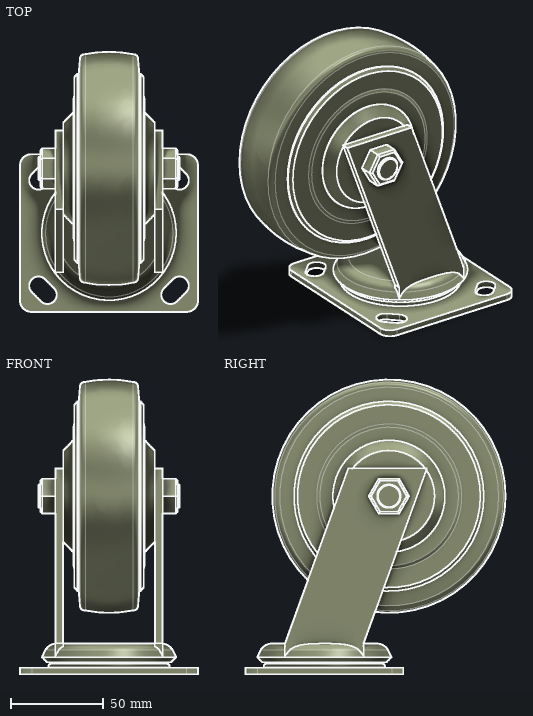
import cadquery as cq
import math


PLATE_X = 97.0
PLATE_Y = 85.9
PLATE_T = 3.7
PLATE_CORNER_R = 6.4
SLOT_WIDTH = 10.0
SLOT_TRAVEL = 6.9
SLOT_X = 35.9
SLOT_Y = 31.1
SLOT_TILT = 45.0

FLANGE_R = 33.0
FLANGE_ROUND_R = 1.5
NECK_R = FLANGE_R - FLANGE_ROUND_R
NECK_Z = 5.8
DISC_BOTTOM_R = 33.6
DISC_BOTTOM_Z = 6.4
DISC_RIM_R = 36.5
DISC_RIM_Z = 9.3
DISC_ROUND_R = 34.6
DISC_ROUND_Z = 13.3
DISC_TOP_R = 28.2
DISC_TOP_Z = 16.8

OVERALL_HEIGHT = 160.2
OVERALL_DEPTH = 141.5
WHEEL_R = 63.5
AXLE_Y = OVERALL_DEPTH - PLATE_Y / 2 - WHEEL_R
AXLE_Z = OVERALL_HEIGHT - WHEEL_R
CROWN_EDGE_X = 13.0
CROWN_EDGE_R = 62.2
TIRE_ROUND_X = 15.0
TIRE_ROUND_R = 61.4
TIRE_SIDE_X = 15.9
TIRE_SIDE_R = 59.5
TIRE_FOOT_X = 16.5
TIRE_FOOT_R = 51.6
RIM_X = 18.9
RIM_STEP_X = 17.1
RIM_OUTER_R = 49.7
RIM_INNER_R = 39.4
WEB_X = 19.4
WEB_R = 37.6
HUB_BASE_X = 19.5
HUB_BASE_R = 30.5
HUB_FACE_R = 24.8

LEG_INNER_X = 25.0
LEG_T = 4.2
LEG_WIDTH = 42.8
LEG_TOP_Z = 111.8
LEG_TOP_BACK_Y = 55.8
LEG_OUTER_X = LEG_INNER_X + LEG_T

BOLT_R = 6.4
BOLT_HALF_LENGTH = 38.5
BOLT_CHAMFER = 0.5
HEX_ACROSS_FLATS = 19.0
HEX_OUTER_X = 37.3
HEX_CHAMFER = 1.1
HEX_ACROSS_CORNERS = HEX_ACROSS_FLATS / math.cos(math.pi / 6)


def plane_across_axle(x):
    """Plane at the given X, centred on the axle, with its normal along +X."""
    return cq.Workplane("YZ", origin=(x, AXLE_Y, AXLE_Z))


def make_plate():
    """Rounded rectangular plate with a slanted bolt slot in each corner."""
    plate = (
        cq.Workplane("XY")
        .box(PLATE_X, PLATE_Y, PLATE_T, centered=(True, True, False))
        .edges("|Z")
        .fillet(PLATE_CORNER_R)
    )
    for side_x in (-1, 1):
        for side_y in (-1, 1):
            slot_angle = -SLOT_TILT * side_x * side_y
            slot = (
                cq.Workplane("XY")
                .center(side_x * SLOT_X, side_y * SLOT_Y)
                .slot2D(SLOT_WIDTH + SLOT_TRAVEL, SLOT_WIDTH, slot_angle)
                .extrude(PLATE_T)
            )
            plate = plate.cut(slot)
    return plate


def make_swivel_head():
    """Flange and disc revolved about Z, on top of the plate."""
    return (
        cq.Workplane("XZ")
        .moveTo(0, DISC_TOP_Z)
        .lineTo(DISC_TOP_R, DISC_TOP_Z)
        .tangentArcPoint((DISC_ROUND_R, DISC_ROUND_Z), relative=False)
        .lineTo(DISC_RIM_R, DISC_RIM_Z)
        .lineTo(DISC_BOTTOM_R, DISC_BOTTOM_Z)
        .lineTo(NECK_R, DISC_BOTTOM_Z)
        .lineTo(NECK_R, NECK_Z)
        .radiusArc((FLANGE_R, NECK_Z - FLANGE_ROUND_R), FLANGE_ROUND_R)
        .lineTo(FLANGE_R, PLATE_T)
        .lineTo(0, PLATE_T)
        .close()
        .revolve(360, (0, 0, 0), (0, 1, 0))
    )


def make_leg(inner_x):
    """Leaning leg that stands upright where it enters the disc, down to the disc's rim height."""
    half_width = LEG_WIDTH / 2
    outline = [
        (-half_width, DISC_RIM_Z),
        (half_width, DISC_RIM_Z),
        (half_width, DISC_TOP_Z),
        (LEG_TOP_BACK_Y, LEG_TOP_Z),
        (LEG_TOP_BACK_Y - LEG_WIDTH, LEG_TOP_Z),
        (-half_width, DISC_TOP_Z),
    ]
    return cq.Workplane("YZ", origin=(inner_x, 0, 0)).polyline(outline).close().extrude(LEG_T)


def make_axle_bolt():
    """Shank through the wheel, with a chamfered hexagon outside each leg."""
    shank = (
        plane_across_axle(-BOLT_HALF_LENGTH)
        .circle(BOLT_R)
        .extrude(2 * BOLT_HALF_LENGTH)
        .faces("<X or >X")
        .chamfer(BOLT_CHAMFER)
    )
    hexagon = (
        plane_across_axle(LEG_OUTER_X)
        .polygon(6, HEX_ACROSS_CORNERS)
        .extrude(HEX_OUTER_X - LEG_OUTER_X)
        .faces(">X")
        .chamfer(HEX_CHAMFER)
    )
    return shank.union(hexagon).union(hexagon.mirror("YZ"))


def make_frame():
    """Plate, swivel head, two legs and the axle bolt as one body."""
    frame = make_plate().union(make_swivel_head())
    for inner_x in (-LEG_OUTER_X, LEG_INNER_X):
        frame = frame.union(make_leg(inner_x))
    return frame.union(make_axle_bolt())


def make_wheel():
    """Wheel revolved about the axle, with a crowned tread and a bore that fits the bolt."""
    right_side = [
        (LEG_INNER_X, BOLT_R),
        (LEG_INNER_X, HUB_FACE_R),
        (HUB_BASE_X, HUB_BASE_R),
        (WEB_X, HUB_BASE_R),
        (WEB_X, WEB_R),
        (RIM_X, RIM_INNER_R),
        (RIM_X, RIM_OUTER_R),
        (RIM_STEP_X, TIRE_FOOT_R),
        (TIRE_FOOT_X, TIRE_FOOT_R),
        (TIRE_SIDE_X, TIRE_SIDE_R),
    ]
    left_side = [(-x, r) for x, r in reversed(right_side)]
    return (
        cq.Workplane("XY")
        .polyline(right_side)
        .threePointArc((TIRE_ROUND_X, TIRE_ROUND_R), (CROWN_EDGE_X, CROWN_EDGE_R))
        .threePointArc((0, WHEEL_R), (-CROWN_EDGE_X, CROWN_EDGE_R))
        .threePointArc((-TIRE_ROUND_X, TIRE_ROUND_R), (-TIRE_SIDE_X, TIRE_SIDE_R))
        .polyline(left_side[1:], includeCurrent=True)
        .close()
        .revolve(360, (0, 0, 0), (1, 0, 0))
        .translate((0, AXLE_Y, AXLE_Z))
    )


frame = make_frame()
wheel = make_wheel()

result = cq.Compound.makeCompound([frame.val(), wheel.val()])